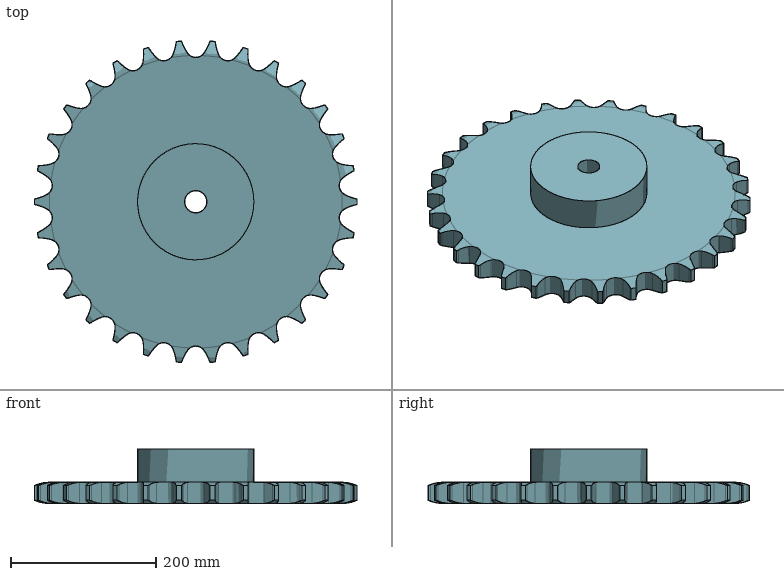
import cadquery as cq
import math

tooth_count = 30
tip_radius = 222.0
chain_pitch = 44.5
plate_thickness = 29.5
side_arc_radius = 49.0
side_arc_start = 201.0

pitch_radius = chain_pitch / (2 * math.sin(math.pi / tooth_count))
seat_radius = 13.8
flank_radius = 62.0
corner_radius = 11.0
seat_end_slope = 34.5
flank_end_slope = 20.0
corner_end_slope = 60.0

hub_diameter = 160.0
bore_diameter = 30.0
total_height = 75.0


def toothless_blank():
    """Disc whose rim sides curve inwards along arcs tangent to the flat faces."""

    def side_drop(radius):
        run = radius - side_arc_start
        return side_arc_radius - math.sqrt(side_arc_radius**2 - run**2)

    mid_radius = (side_arc_start + tip_radius) / 2
    mid_drop = side_drop(mid_radius)
    tip_drop = side_drop(tip_radius)
    return (
        cq.Workplane("XZ")
        .lineTo(side_arc_start, 0)
        .threePointArc((mid_radius, mid_drop), (tip_radius, tip_drop))
        .lineTo(tip_radius, plate_thickness - tip_drop)
        .threePointArc(
            (mid_radius, plate_thickness - mid_drop),
            (side_arc_start, plate_thickness),
        )
        .lineTo(0, plate_thickness)
        .close()
        .revolve(360, (0, 0), (0, 1))
    )


def offset_point(origin, distance, slope):
    """Move from origin by a distance along the outline normal at a slope."""
    angle = math.radians(slope)
    return (
        origin[0] - distance * math.sin(angle),
        origin[1] + distance * math.cos(angle),
    )


def mirrored(point):
    return (point[0], -point[1])


def tooth_gap_cutter():
    """One tooth gap centred on the +X axis."""
    seat_center = (pitch_radius, 0)
    flank_center = offset_point(seat_center, seat_radius - flank_radius, seat_end_slope)
    corner_center = offset_point(flank_center, flank_radius + corner_radius, flank_end_slope)

    seat_end = offset_point(seat_center, seat_radius, seat_end_slope)
    flank_mid = offset_point(flank_center, flank_radius, (seat_end_slope + flank_end_slope) / 2)
    flank_end = offset_point(flank_center, flank_radius, flank_end_slope)
    corner_mid = offset_point(corner_center, -corner_radius, (flank_end_slope + corner_end_slope) / 2)
    corner_end = offset_point(corner_center, -corner_radius, corner_end_slope)

    return (
        cq.Workplane("XY")
        .moveTo(*corner_end)
        .threePointArc(corner_mid, flank_end)
        .threePointArc(flank_mid, seat_end)
        .threePointArc((pitch_radius - seat_radius, 0), mirrored(seat_end))
        .threePointArc(mirrored(flank_mid), mirrored(flank_end))
        .threePointArc(mirrored(corner_mid), mirrored(corner_end))
        .close()
        .extrude(plate_thickness)
    )


sprocket = toothless_blank()
gap_cutter = tooth_gap_cutter()
tooth_step = 360 / tooth_count
for index in range(tooth_count):
    gap_angle = (index + 0.5) * tooth_step
    sprocket = sprocket.cut(gap_cutter.rotate((0, 0, 0), (0, 0, 1), gap_angle))

hub = cq.Workplane("XY").circle(hub_diameter / 2).extrude(total_height)
bore = cq.Workplane("XY").circle(bore_diameter / 2).extrude(total_height)

result = sprocket.union(hub).cut(bore)